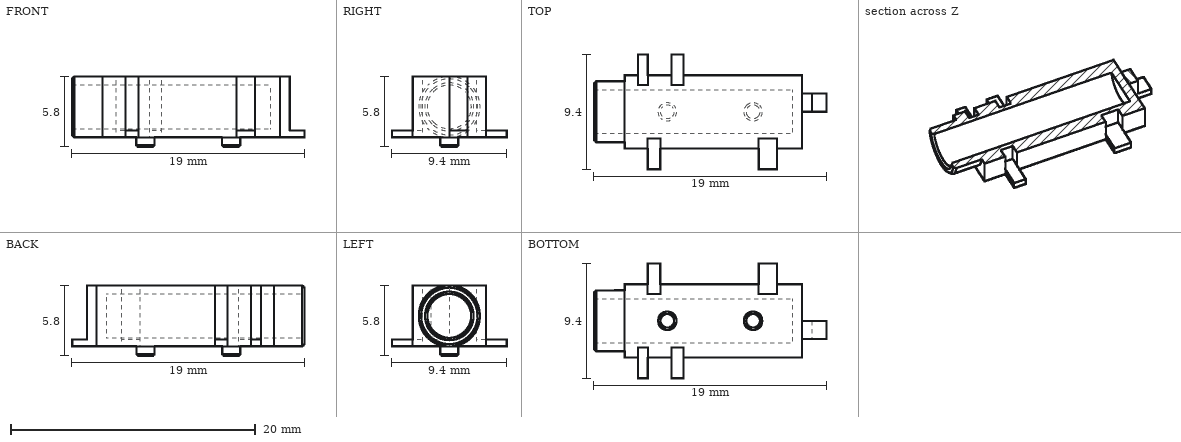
import cadquery as cq

overall_length = 19.0
barrel_length = 2.49
housing_rear_x = 17.0
housing_width = 6.0
housing_height = 5.0

barrel_diameter = housing_height
barrel_chamfer = 0.19
bore_diameter = 3.6
bore_chamfer = 0.19
rear_wall = 0.8
bore_depth = housing_rear_x - rear_wall
axis_height = housing_height / 2

peg_diameter = 1.5
peg_height = 0.8
peg_chamfer = 0.19
peg_positions = [5.98, 13.0]

leads_span = 9.4
lead_thickness = 0.59
slot_depth = 0.8
side_leads = [
    (4.37, 1.05, -1),
    (13.45, 1.5, -1),
    (3.57, 0.82, 1),
    (6.3, 1.0, 1),
]

rear_lead_width = 1.5
rear_post_thickness = 0.8


def block(x_start, x_end, y_start, y_end, height):
    """Box standing on Z = 0."""
    size = (x_end - x_start, y_end - y_start, height)
    return cq.Workplane("XY").box(*size, centered=False).translate((x_start, y_start, 0))


def side_strip(start_x, width, side, outer_y, height):
    """Strip from a slot floor out to outer_y on the chosen side of the housing."""
    y_limits = sorted([side * (housing_width / 2 - slot_depth), side * outer_y])
    return block(start_x, start_x + width, *y_limits, height)


def x_cylinder(diameter, length):
    """Cylinder on the barrel axis, running from the mouth toward +X."""
    return cq.Workplane("YZ").center(0, axis_height).circle(diameter / 2).extrude(length)


def make_peg(x):
    peg = cq.Workplane("XY").center(x, 0).circle(peg_diameter / 2).extrude(-peg_height)
    return peg.faces("<Z").chamfer(peg_chamfer)


def make_housing():
    housing = block(barrel_length, housing_rear_x, -housing_width / 2, housing_width / 2, housing_height)
    barrel = x_cylinder(barrel_diameter, barrel_length).faces("<X").chamfer(barrel_chamfer)
    housing = housing.union(barrel)
    for x in peg_positions:
        housing = housing.union(make_peg(x))

    for start_x, width, side in side_leads:
        housing = housing.cut(side_strip(start_x, width, side, housing_width / 2, housing_height))

    housing = housing.cut(x_cylinder(bore_diameter, bore_depth))
    mouth_edge = cq.selectors.RadiusNthSelector(0)
    return housing.faces("<X").edges(mouth_edge).chamfer(bore_chamfer)


def make_side_lead(start_x, width, side):
    return side_strip(start_x, width, side, leads_span / 2, lead_thickness)


def make_rear_lead():
    post_rear_x = housing_rear_x + rear_post_thickness
    profile = [
        (housing_rear_x, 0),
        (overall_length, 0),
        (overall_length, lead_thickness),
        (post_rear_x, lead_thickness),
        (post_rear_x, housing_height),
        (housing_rear_x, housing_height),
    ]
    return cq.Workplane("XZ").polyline(profile).close().extrude(-rear_lead_width)


housing = make_housing()
side_lead_solids = [make_side_lead(*lead).val() for lead in side_leads]
rear_lead = make_rear_lead()

result = cq.Compound.makeCompound([housing.val(), *side_lead_solids, rear_lead.val()])